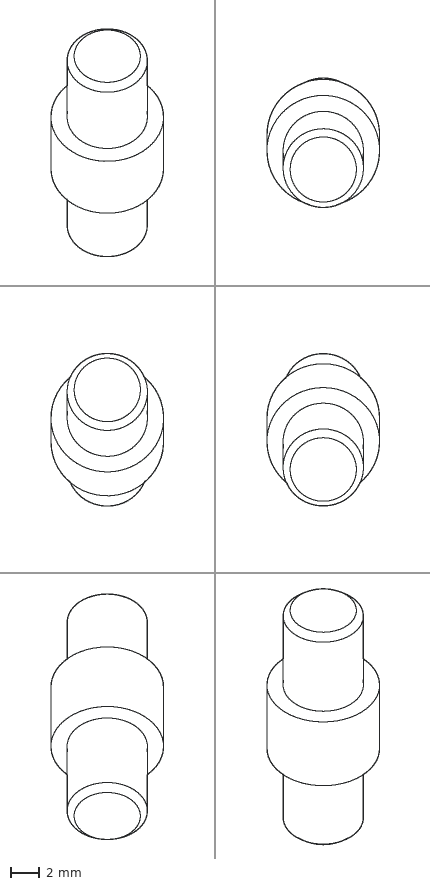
import cadquery as cq

pin_length = 20.0
pin_diameter = 5.7
end_chamfer = 0.5
sleeve_diameter = 8.0
sleeve_length = 6.0


def make_pin():
    """Solid round pin along Z, centred on the origin and chamfered at both ends."""
    pin = cq.Workplane("XY", origin=(0, 0, -pin_length / 2)).circle(pin_diameter / 2).extrude(pin_length)
    return pin.faces("<Z or >Z").chamfer(end_chamfer)


def make_sleeve():
    """Plain sleeve around the middle of the pin, its bore matching the pin."""
    return (
        cq.Workplane("XY", origin=(0, 0, -sleeve_length / 2))
        .circle(sleeve_diameter / 2)
        .circle(pin_diameter / 2)
        .extrude(sleeve_length)
    )


pin = make_pin()
sleeve = make_sleeve()

result = cq.Compound.makeCompound([pin.val(), sleeve.val()])